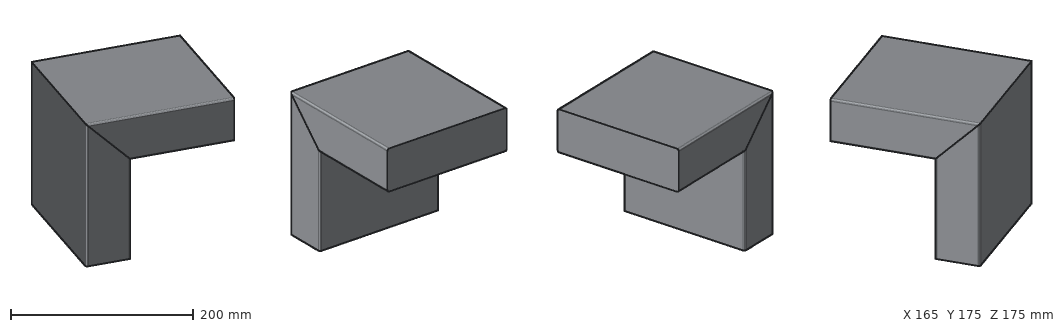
import cadquery as cq

arm_length = 175.0
arm_width = 165.0
arm_thickness = 53.0
edge_radius = 2.5



def rounded_bar():
    """Solid bar along +Y, with its top face at z = 0 and its four long edges rounded."""
    return (
        cq.Workplane("XY")
        .box(arm_width, arm_length, arm_thickness, centered=(True, False, False))
        .translate((0, 0, -arm_thickness))
        .edges("|Y")
        .fillet(edge_radius)
    )


def mitre_waste():
    """Wedge on the lower side of the mitre plane, as wide as the bar."""
    return (
        cq.Workplane("YZ")
        .polyline([(0, 0), (arm_thickness, -arm_thickness), (0, -arm_thickness)])
        .close()
        .extrude(arm_width / 2, both=True)
    )


def make_horizontal_arm():
    """Bar along +Y, cut at 45 degrees at the outer corner."""
    return rounded_bar().cut(mitre_waste())


def make_vertical_arm():
    """Reflection of the horizontal arm in the mitre plane."""
    return make_horizontal_arm().mirror("XY").rotate((0, 0, 0), (1, 0, 0), -90)


horizontal_arm = make_horizontal_arm()
vertical_arm = make_vertical_arm()

result = cq.Compound.makeCompound([horizontal_arm.val(), vertical_arm.val()])